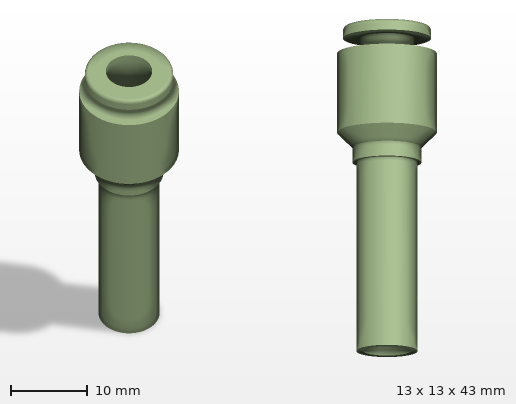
import cadquery as cq

TOTAL_HEIGHT = 43.0
BORE_DIAMETER = 6.0

STEM_DIAMETER = 8.0
COLLAR_DIAMETER = 9.0
SOCKET_DIAMETER = 13.0
COLLAR_HEIGHT = 1.98
SHOULDER_HEIGHT = 1.98
SOCKET_HEIGHT = 10.5

NECK_DIAMETER = 7.0
FLANGE_DIAMETER = 11.5
NECK_HEIGHT = 2.0
FLANGE_HEIGHT = 1.5
FLANGE_ROUND = 0.5

flange_bottom = TOTAL_HEIGHT - FLANGE_HEIGHT
socket_top = flange_bottom - NECK_HEIGHT
socket_bottom = socket_top - SOCKET_HEIGHT
collar_top = socket_bottom - SHOULDER_HEIGHT
collar_bottom = collar_top - COLLAR_HEIGHT


def make_housing():
    """Revolve the stepped housing with its through bore."""
    bore_radius = BORE_DIAMETER / 2
    stem_radius = STEM_DIAMETER / 2
    collar_radius = COLLAR_DIAMETER / 2
    socket_radius = SOCKET_DIAMETER / 2
    return (
        cq.Workplane("XZ")
        .moveTo(bore_radius, 0)
        .lineTo(stem_radius, 0)
        .lineTo(stem_radius, collar_bottom)
        .lineTo(collar_radius, collar_bottom)
        .lineTo(collar_radius, collar_top)
        .lineTo(socket_radius, socket_bottom)
        .lineTo(socket_radius, socket_top)
        .lineTo(bore_radius, socket_top)
        .close()
        .revolve(360, (0, 0, 0), (0, 1, 0))
    )


def make_release_ring():
    """Stack the neck and flange, round the top rim and cut the bore."""
    neck = cq.Workplane("XY", origin=(0, 0, socket_top)).circle(NECK_DIAMETER / 2).extrude(NECK_HEIGHT)
    ring = neck.faces(">Z").workplane().circle(FLANGE_DIAMETER / 2).extrude(FLANGE_HEIGHT)
    ring = ring.faces(">Z").edges().fillet(FLANGE_ROUND)
    return ring.faces(">Z").workplane().circle(BORE_DIAMETER / 2).cutThruAll()


housing = make_housing()
release_ring = make_release_ring()

result = cq.Compound.makeCompound([housing.val(), release_ring.val()])